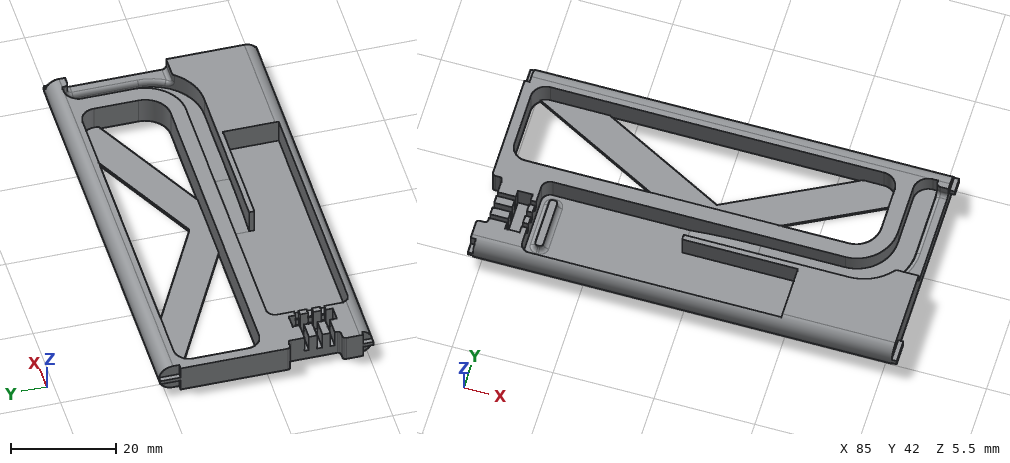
import cadquery as cq
BODY_LENGTH = 84.0
WIDTH = 42.0
HEIGHT = 5.5
EDGE_RADIUS = HEIGHT / 2
MID_HEIGHT = HEIGHT / 2

JOINT_LENGTH = 1.0
TONGUE_THICKNESS = 0.8
TAB_THICKNESS = 1.3
LOWER_TONGUE_WIDTH = 2.0
UPPER_TONGUE_WIDTH = 4.0
LOWER_TAB_WIDTH = 4.6
UPPER_TAB_WIDTH = 3.0

WINDOW_LEFT = 2.1
WINDOW_RIGHT = 74.25
WINDOW_BOTTOM = 21.2
WINDOW_TOP = 38.0
WINDOW_RADIUS = 3.0
WINDOW_BEND_RADIUS = 5.0
BRACE_THICKNESS = 0.6
BRACE_SLOPE = 0.523
BRACE_APEX_Y = 24.9
BRACE_HEIGHT_ALONG_Y = 7.7

RIB_WIDTH_ALONG_X = 3.3
RIB_WIDTH_ALONG_Y = 3.1
CHANNEL_WIDTH = 4.05
CHANNEL_FLOOR = 1.6
CHANNEL_INNER_RADIUS = 8.1
CHANNEL_OUTER_RADIUS = 10.2
CHANNEL_END_RADIUS = 3.0
CHANNEL_TOP = WIDTH - EDGE_RADIUS
CHANNEL_INNER_X = WINDOW_RIGHT + RIB_WIDTH_ALONG_X
CHANNEL_OUTER_X = CHANNEL_INNER_X + CHANNEL_WIDTH
CHANNEL_INNER_Y = WINDOW_BOTTOM - RIB_WIDTH_ALONG_Y
CHANNEL_OUTER_Y = CHANNEL_INNER_Y - CHANNEL_WIDTH
RAMP_START = 38.65
RAMP_END = 52.7

NOTCH_BOTTOM = 18.1
NOTCH_TOP = 38.0
NOTCH_FLOOR = 3.0
NOTCH_RADIUS = 0.85

POCKET_LEFT = 9.7
POCKET_RIGHT = 61.6
POCKET_BOTTOM = 2.0
POCKET_FLOOR = 0.55
POCKET_RADIUS = 1.8
DIVIDER_THICKNESS = 1.05

PAD_CENTER = (12.25, 11.17)
PAD_LENGTH = 10.4
PAD_WIDTH = 1.6
PAD_CORNER_RADIUS = 0.6
PAD_FILLET = 1.0
PAD_HEIGHT = 1.3

RECESS_DEPTH = 2.1
RECESS_BOTTOM = 6.0
RECESS_TOP = 16.3
RECESS_RADIUS = 0.6
CONTACT_SLOT_FLOOR = 2.1
CONTACT_BOX_FLOOR = 1.0
SILL_TOP = 3.4
SILL_THICKNESS = 0.2
CONTACT_BOX_LEFT = 5.7
CONTACT_BOX_RIGHT = 8.6
CONTACT_BOX_WIDTH = 8.7
CONTACT_Y = 10.05
CONTACT_PITCH = 2.54
CONTACT_SLOT_WIDTHS = (0.85, 1.05, 0.85)


def block(x0, x1, y0, y1, z0, z1):
    """Axis-aligned box given by its limits."""
    return cq.Workplane("XY").box(x1 - x0, y1 - y0, z1 - z0, centered=False).translate((x0, y0, z0))


def edge_profile_bar(x0, x1):
    """Bar with fully rounded long edges between two X positions."""
    return (
        cq.Workplane("YZ", origin=(x0, 0, 0))
        .center(WIDTH / 2, MID_HEIGHT)
        .slot2D(WIDTH, HEIGHT)
        .extrude(x1 - x0)
    )


def make_body():
    """Rounded bar with material removed above and below the two left-end tongues."""
    body = edge_profile_bar(0, BODY_LENGTH)
    tongue_bottom = MID_HEIGHT - TONGUE_THICKNESS / 2
    tongue_top = MID_HEIGHT + TONGUE_THICKNESS / 2
    for y0, y1 in ((0, LOWER_TONGUE_WIDTH), (WIDTH - UPPER_TONGUE_WIDTH, WIDTH)):
        body = body.cut(block(0, JOINT_LENGTH, y0, y1, 0, tongue_bottom))
        body = body.cut(block(0, JOINT_LENGTH, y0, y1, tongue_top, HEIGHT))
    return body


def make_tabs():
    """Two tabs on the right end that keep the rounded outline of the long edges."""
    tab_bar = edge_profile_bar(BODY_LENGTH - JOINT_LENGTH, BODY_LENGTH + JOINT_LENGTH)
    z0 = MID_HEIGHT - TAB_THICKNESS / 2
    z1 = MID_HEIGHT + TAB_THICKNESS / 2
    x0 = BODY_LENGTH
    x1 = BODY_LENGTH + JOINT_LENGTH
    limits = block(x0, x1, 0, LOWER_TAB_WIDTH, z0, z1)
    limits = limits.union(block(x0, x1, WIDTH - UPPER_TAB_WIDTH, WIDTH, z0, z1))
    return tab_bar.intersect(limits)


def make_window(height):
    """Window opening up to a given height, with one larger corner beside the channel bend."""
    window = block(WINDOW_LEFT, WINDOW_RIGHT, WINDOW_BOTTOM, WINDOW_TOP, 0, height)
    window = window.edges("|Z and (<X or >Y)").fillet(WINDOW_RADIUS)
    bend_corner = cq.selectors.NearestToPointSelector((WINDOW_RIGHT, WINDOW_BOTTOM, height / 2))
    return window.edges(bend_corner).fillet(WINDOW_BEND_RADIUS)


def make_brace():
    """Thin V of two bars across the bottom of the window."""
    middle = BODY_LENGTH / 2
    rise = BRACE_SLOPE * middle
    apex_bottom = BRACE_APEX_Y - BRACE_HEIGHT_ALONG_Y
    outline = [
        (middle, BRACE_APEX_Y),
        (0, BRACE_APEX_Y + rise),
        (0, apex_bottom + rise),
        (middle, apex_bottom),
        (BODY_LENGTH, apex_bottom + rise),
        (BODY_LENGTH, BRACE_APEX_Y + rise),
    ]
    bars = cq.Workplane("XY").polyline(outline).close().extrude(BRACE_THICKNESS)
    return bars.intersect(make_window(BRACE_THICKNESS))


def make_channel():
    """Cutter for the cable channel that ramps out of the pocket and bends around the window."""
    outer_bend_start = (CHANNEL_OUTER_X - CHANNEL_OUTER_RADIUS, CHANNEL_OUTER_Y)
    outer_bend_end = (CHANNEL_OUTER_X, CHANNEL_OUTER_Y + CHANNEL_OUTER_RADIUS)
    inner_bend_start = (CHANNEL_INNER_X, CHANNEL_INNER_Y + CHANNEL_INNER_RADIUS)
    inner_bend_end = (CHANNEL_INNER_X - CHANNEL_INNER_RADIUS, CHANNEL_INNER_Y)
    plan = (
        cq.Workplane("XY")
        .moveTo(RAMP_START, CHANNEL_OUTER_Y)
        .lineTo(*outer_bend_start)
        .radiusArc(outer_bend_end, -CHANNEL_OUTER_RADIUS)
        .lineTo(CHANNEL_OUTER_X, CHANNEL_TOP)
        .lineTo(CHANNEL_INNER_X + CHANNEL_END_RADIUS, CHANNEL_TOP)
        .radiusArc((CHANNEL_INNER_X, CHANNEL_TOP - CHANNEL_END_RADIUS), -CHANNEL_END_RADIUS)
        .lineTo(*inner_bend_start)
        .radiusArc(inner_bend_end, CHANNEL_INNER_RADIUS)
        .lineTo(RAMP_START, CHANNEL_INNER_Y)
        .close()
        .extrude(HEIGHT)
    )
    rise = CHANNEL_FLOOR - POCKET_FLOOR
    run = RAMP_END - RAMP_START
    ramp_radius = (run**2 + rise**2) / (2 * rise)
    side = (
        cq.Workplane("XZ")
        .moveTo(RAMP_START, POCKET_FLOOR)
        .radiusArc((RAMP_END, CHANNEL_FLOOR), ramp_radius)
        .lineTo(BODY_LENGTH, CHANNEL_FLOOR)
        .lineTo(BODY_LENGTH, HEIGHT)
        .lineTo(RAMP_START, HEIGHT)
        .close()
        .extrude(-WIDTH)
    )
    return plan.intersect(side)


def make_notch():
    """Cutter from inside the channel to the right end, with rounded floor edges."""
    notch_start = CHANNEL_INNER_X + CHANNEL_WIDTH / 4
    notch = block(notch_start, BODY_LENGTH, NOTCH_BOTTOM, NOTCH_TOP, NOTCH_FLOOR, HEIGHT)
    return notch.edges("|X and <Z").fillet(NOTCH_RADIUS)


def round_notch_mouth(part):
    """Round the edges where the notch walls and floor break into the channel."""
    margin = 0.1
    mouth = cq.selectors.BoxSelector(
        (CHANNEL_INNER_X + margin, NOTCH_BOTTOM - margin, NOTCH_FLOOR - margin),
        (CHANNEL_OUTER_X + margin, NOTCH_TOP + margin, HEIGHT - margin),
    )
    return part.edges(mouth).fillet(NOTCH_RADIUS)


def make_pocket():
    """Cutter for the wide end of the pocket and its narrower part beside the divider wall."""
    pocket = block(POCKET_LEFT, RAMP_START, POCKET_BOTTOM, CHANNEL_INNER_Y, POCKET_FLOOR, HEIGHT)
    pocket = pocket.edges("|Z and <X").fillet(POCKET_RADIUS)
    divider_side = CHANNEL_OUTER_Y - DIVIDER_THICKNESS
    return pocket.union(block(RAMP_START, POCKET_RIGHT, POCKET_BOTTOM, divider_side, POCKET_FLOOR, HEIGHT))


def add_pad(part):
    """Add the rounded pad and flare its sides into the pocket floor with a concave fillet."""
    pad = (
        cq.Workplane("XY", origin=(*PAD_CENTER, POCKET_FLOOR))
        .rect(PAD_WIDTH, PAD_LENGTH)
        .extrude(PAD_HEIGHT)
        .edges("|Z")
        .fillet(PAD_CORNER_RADIUS)
    )
    margin = 0.1
    center_x, center_y = PAD_CENTER
    half_width = PAD_WIDTH / 2 + margin
    half_length = PAD_LENGTH / 2 + margin
    foot = cq.selectors.BoxSelector(
        (center_x - half_width, center_y - half_length, POCKET_FLOOR - margin),
        (center_x + half_width, center_y + half_length, POCKET_FLOOR + margin),
    )
    return part.union(pad).edges(foot).fillet(PAD_FILLET)


def make_recess():
    """Cut-away of the left end with rounded inner and outer corners."""
    r = RECESS_RADIUS
    return (
        cq.Workplane("XY")
        .moveTo(0, RECESS_BOTTOM - r)
        .radiusArc((r, RECESS_BOTTOM), r)
        .lineTo(RECESS_DEPTH - r, RECESS_BOTTOM)
        .radiusArc((RECESS_DEPTH, RECESS_BOTTOM + r), -r)
        .lineTo(RECESS_DEPTH, RECESS_TOP - r)
        .radiusArc((RECESS_DEPTH - r, RECESS_TOP), -r)
        .lineTo(r, RECESS_TOP)
        .radiusArc((0, RECESS_TOP + r), r)
        .close()
        .extrude(HEIGHT)
    )


def make_contacts():
    """Cutter for the contact box and the three slots that cross it."""
    half_box = CONTACT_BOX_WIDTH / 2
    box_bottom = CONTACT_Y - half_box
    box_top = CONTACT_Y + half_box
    cutter = block(CONTACT_BOX_LEFT, CONTACT_BOX_RIGHT, box_bottom, box_top, CONTACT_BOX_FLOOR, HEIGHT)
    slot_end = POCKET_LEFT - SILL_THICKNESS
    middle_slot = len(CONTACT_SLOT_WIDTHS) // 2
    for index, width in enumerate(CONTACT_SLOT_WIDTHS):
        slot_y = CONTACT_Y + (index - middle_slot) * CONTACT_PITCH
        y0 = slot_y - width / 2
        y1 = slot_y + width / 2
        cutter = cutter.union(block(RECESS_DEPTH, slot_end, y0, y1, CONTACT_SLOT_FLOOR, HEIGHT))
        cutter = cutter.union(block(slot_end, POCKET_LEFT, y0, y1, SILL_TOP, HEIGHT))
    return cutter


result = make_body().union(make_tabs())
result = result.cut(make_window(HEIGHT)).union(make_brace())
result = result.cut(make_pocket()).cut(make_channel()).cut(make_notch())
result = round_notch_mouth(result)
result = add_pad(result)
result = result.cut(make_recess()).cut(make_contacts())